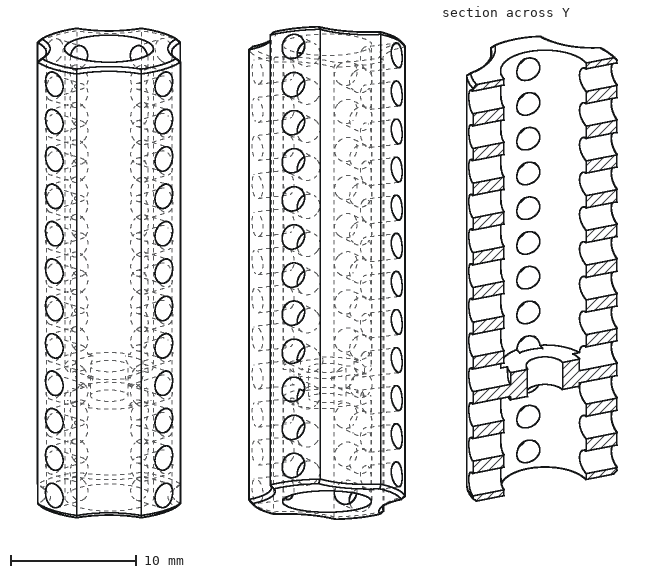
import cadquery as cq
import math

LENGTH = 37.5
OUTER_DIAMETER = 12.5
OUTER_RADIUS = OUTER_DIAMETER / 2
END_CHAMFER = 0.3

LOBE_COUNT = 4
LOBE_WIDTH = 4.42
FLUTE_ROOT_RADIUS = 5.0

SOCKET_DIAMETER = 7.1
WEB_HOLE_DIAMETER = 3.0
WEB_TOP = 11.0
WEB_BOTTOM = 8.5

HOLE_DIAMETER = 2.0
HOLES_PER_LOBE = 12
HOLE_PITCH = LENGTH / HOLES_PER_LOBE
HOLE_FLOOR_RADIUS = 3.0


def point_at(radius, angle):
    """Point in the XY plane at a radius and an angle in radians."""
    return (radius * math.cos(angle), radius * math.sin(angle))


def make_body():
    """Fluted bar with both end outlines chamfered."""
    lobe_spacing = 2 * math.pi / LOBE_COUNT
    half_lobe_angle = math.asin(LOBE_WIDTH / 2 / OUTER_RADIUS)

    outline = cq.Workplane("XY").moveTo(*point_at(OUTER_RADIUS, -half_lobe_angle))
    for lobe in range(LOBE_COUNT):
        lobe_angle = lobe * lobe_spacing
        next_lobe_angle = lobe_angle + lobe_spacing
        outline = outline.threePointArc(
            point_at(OUTER_RADIUS, lobe_angle),
            point_at(OUTER_RADIUS, lobe_angle + half_lobe_angle),
        )
        outline = outline.threePointArc(
            point_at(FLUTE_ROOT_RADIUS, lobe_angle + lobe_spacing / 2),
            point_at(OUTER_RADIUS, next_lobe_angle - half_lobe_angle),
        )
    bar = outline.close().extrude(LENGTH)
    return bar.faces("<Z or >Z").chamfer(END_CHAMFER)


def make_bore():
    """Upper socket, lower socket and the hole through the web between them."""
    upper_socket = cq.Workplane("XY").circle(SOCKET_DIAMETER / 2).extrude(LENGTH - WEB_TOP)
    upper_socket = upper_socket.translate((0, 0, WEB_TOP))
    lower_socket = cq.Workplane("XY").circle(SOCKET_DIAMETER / 2).extrude(WEB_BOTTOM)
    web_hole = cq.Workplane("XY").circle(WEB_HOLE_DIAMETER / 2).extrude(LENGTH)
    return upper_socket.union(lower_socket).union(web_hole)


def make_hole_row():
    """Row of holes entering the lobe on +X, with floors curved about the axis."""
    centers = [(0, HOLE_PITCH * (index + 0.5)) for index in range(HOLES_PER_LOBE)]
    drills = cq.Workplane("YZ").pushPoints(centers).circle(HOLE_DIAMETER / 2).extrude(OUTER_DIAMETER)
    core = cq.Workplane("XY").circle(HOLE_FLOOR_RADIUS).extrude(LENGTH)
    return drills.cut(core)


result = make_body().cut(make_bore())
hole_row = make_hole_row()
for lobe in range(LOBE_COUNT):
    result = result.cut(hole_row.rotate((0, 0, 0), (0, 0, 1), lobe * 360 / LOBE_COUNT))